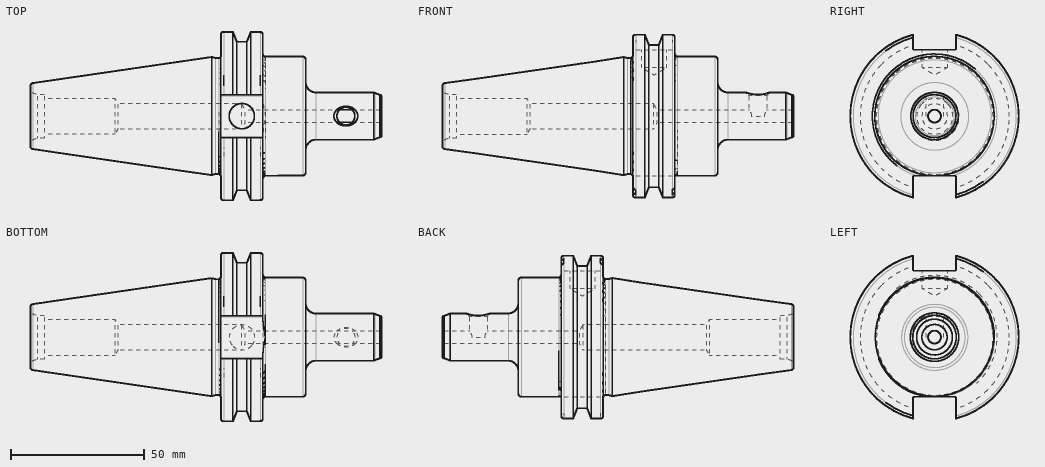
import cadquery as cq
import math

total_length = 131.8
flange_start = 71.4
flange_width = 15.8
flange_end = flange_start + flange_width
body_end = 103.3

gauge_radius = 44.4 / 2
gauge_x = 68.0
taper_slope = 7 / 24 / 2
taper_tip_radius = gauge_radius - gauge_x * taper_slope
taper_angle = math.atan(taper_slope)
taper_tip_setback = 0.9
taper_tip_round = taper_tip_setback * math.tan(math.pi / 4 + taper_angle / 2)
relief_radius = 43.6 / 2
relief_start = 69.4
relief_fillet = 0.7

flange_radius = 31.6
flange_edge_round = 1.0
groove_root_radius = 27.9
groove_root_width = 3.7
groove_mouth_width = 6.7
groove_x = flange_start + flange_width / 2

body_radius = 22.4
body_root_fillet = 0.9
body_end_round = 1.2
pin_radius = 17.8 / 2
pin_root_fillet = 3.8
pin_end_radius = 17.5 / 2
pin_end_start = 128.7
pin_step_length = 0.4
pin_nose_radius = 8.0
pin_nose_round = 0.8

slot_width = 16.1
upper_slot_floor = 24.9
lower_slot_floor = 22.4
slot_corner_fillet = 0.4

slot_hole_radius = 9.5 / 2
slot_hole_depth = 6.6
drill_tip_angle = math.radians(118)

cross_hole_x = 118.3
cross_hole_radius = 6.7 / 2
cross_hole_mouth_radius = 9.0 / 2

mouth_radius = 18.2 / 2
mouth_depth = 2.5
counterbore_radius = 16.3 / 2
counterbore_depth = 5.1
bore_radius = 13.5 / 2
bore_depth = 31.6
passage_radius = 9.5 / 2
passage_depth = 79.0
coolant_radius = 4.7 / 2


def drill_tip_length(outer_radius, inner_radius=0.0):
    """Axial length of the cone a drill leaves between two radii."""
    return (outer_radius - inner_radius) / math.tan(drill_tip_angle / 2)


def revolve_about_x(profile):
    """Turn a closed XY profile about the X axis."""
    return profile.close().revolve(360, (0, 0, 0), (1, 0, 0))


def revolve_about_z(profile, x):
    """Turn a closed XZ profile about the vertical line through x."""
    return profile.close().revolve(360, (x, 0, 0), (x, 1, 0))


def turned_body():
    groove_left = groove_x - groove_mouth_width / 2
    groove_right = groove_x + groove_mouth_width / 2
    root_left = groove_x - groove_root_width / 2
    root_right = groove_x + groove_root_width / 2
    tip_round_end = (
        taper_tip_setback * math.cos(taper_angle),
        taper_tip_radius + taper_tip_setback * math.sin(taper_angle),
    )

    profile = (
        cq.Workplane("XY")
        .moveTo(0, 0)
        .lineTo(0, taper_tip_radius - taper_tip_setback)
        .radiusArc(tip_round_end, taper_tip_round)
        .lineTo(gauge_x, gauge_radius)
        .lineTo(relief_start, relief_radius)
        .lineTo(flange_start - relief_fillet, relief_radius)
        .radiusArc((flange_start, relief_radius + relief_fillet), -relief_fillet)
        .lineTo(flange_start, flange_radius - flange_edge_round)
        .radiusArc((flange_start + flange_edge_round, flange_radius), flange_edge_round)
        .lineTo(groove_left, flange_radius)
        .lineTo(root_left, groove_root_radius)
        .lineTo(root_right, groove_root_radius)
        .lineTo(groove_right, flange_radius)
        .lineTo(flange_end - flange_edge_round, flange_radius)
        .radiusArc((flange_end, flange_radius - flange_edge_round), flange_edge_round)
        .lineTo(flange_end, body_radius + body_root_fillet)
        .radiusArc((flange_end + body_root_fillet, body_radius), -body_root_fillet)
        .lineTo(body_end - body_end_round, body_radius)
        .radiusArc((body_end, body_radius - body_end_round), body_end_round)
        .lineTo(body_end, pin_radius + pin_root_fillet)
        .radiusArc((body_end + pin_root_fillet, pin_radius), -pin_root_fillet)
        .lineTo(pin_end_start, pin_radius)
        .lineTo(pin_end_start + pin_step_length, pin_end_radius)
        .lineTo(total_length - pin_nose_round, pin_nose_radius)
        .radiusArc((total_length, pin_nose_radius - pin_nose_round), pin_nose_round)
        .lineTo(total_length, 0)
    )
    return revolve_about_x(profile)


def axial_bore():
    bore_tip_end = bore_depth + drill_tip_length(bore_radius, passage_radius)
    passage_tip_end = passage_depth + drill_tip_length(passage_radius, coolant_radius)
    profile = (
        cq.Workplane("XY")
        .moveTo(0, 0)
        .lineTo(0, mouth_radius)
        .lineTo(mouth_depth, counterbore_radius)
        .lineTo(counterbore_depth, counterbore_radius)
        .lineTo(counterbore_depth, bore_radius)
        .lineTo(bore_depth, bore_radius)
        .lineTo(bore_tip_end, passage_radius)
        .lineTo(passage_depth, passage_radius)
        .lineTo(passage_tip_end, coolant_radius)
        .lineTo(total_length, coolant_radius)
        .lineTo(total_length, 0)
    )
    return revolve_about_x(profile)


def drive_slot(floor, side):
    """Slot through the flange and its root fillet; side is +1 above the axis and -1 below it."""
    depth = flange_radius - floor
    length = flange_width + body_root_fillet
    center = (flange_start + length / 2, 0, side * (floor + depth / 2))
    floor_edges = "|X and <Z" if side > 0 else "|X and >Z"
    slot = cq.Workplane("XY").box(length, slot_width, depth)
    return slot.edges(floor_edges).fillet(slot_corner_fillet).translate(center)


def slot_hole():
    wall_end = upper_slot_floor - slot_hole_depth
    profile = (
        cq.Workplane("XZ")
        .moveTo(groove_x, upper_slot_floor)
        .lineTo(groove_x + slot_hole_radius, upper_slot_floor)
        .lineTo(groove_x + slot_hole_radius, wall_end)
        .lineTo(groove_x, wall_end - drill_tip_length(slot_hole_radius))
    )
    return revolve_about_z(profile, groove_x)


def cross_hole():
    """Hole from the top of the pin down to the axis, with a 45 degree mouth."""
    countersink_end = pin_radius - (cross_hole_mouth_radius - cross_hole_radius)
    profile = (
        cq.Workplane("XZ")
        .moveTo(cross_hole_x, pin_radius)
        .lineTo(cross_hole_x + cross_hole_mouth_radius, pin_radius)
        .lineTo(cross_hole_x + cross_hole_radius, countersink_end)
        .lineTo(cross_hole_x + cross_hole_radius, 0)
        .lineTo(cross_hole_x, 0)
    )
    return revolve_about_z(profile, cross_hole_x)


result = (
    turned_body()
    .cut(drive_slot(upper_slot_floor, 1))
    .cut(drive_slot(lower_slot_floor, -1))
    .cut(axial_bore())
    .cut(slot_hole())
    .cut(cross_hole())
)